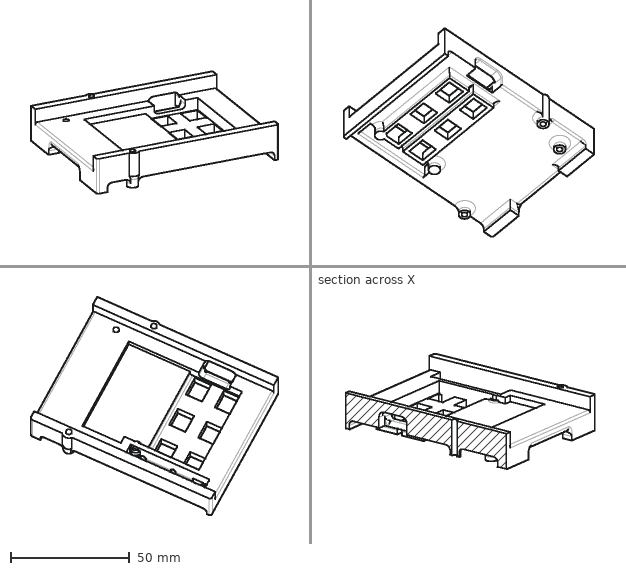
import cadquery as cq
import math

BODY_X = 63.8
BODY_Y = 85.0
BODY_Z = 16.0
CORNER_R = 1.0
OVERLAP = 1.0
MARGIN = 0.1

LEFT_WALL = 4.2
RIGHT_WALL = 4.0
TRAY_X1 = BODY_X - RIGHT_WALL
TRAY_Z = 10.0
TRAY_EDGE_R = 1.0

CEILING_Z = 4.0
FLARE_R = 2.0
FLARE_SLAB = 0.5
FLARE_REACH = FLARE_R + 0.2
LEG_X0 = 17.0
LEG_X1 = 47.1
LEG_Y = 4.9
BACK_RIB_Y = 2.0

FRONT_EDGE_R = 3.0
FRONT_FADE_POWER = 1
LEFT_EDGE_R = 1.0
LEFT_FADE_POWER = 4
FADE_ANGLES = (0, 15, 30, 50, 75)
TOOL_EXCESS = 0.2

POCKET_X0 = 10.2
POCKET_X1 = 51.0
POCKET_FRONT_X1 = 54.35
POCKET_Y0 = 19.9
POCKET_JOG_Y = 38.0
POCKET_STEP_Y = 48.7
POCKET_Y1 = 73.0
SHALLOW_Z = 7.2
DEEP_Z = 4.5
STEP_R = 1.0

WINDOW_COLUMNS = [(10.8, 19.4), (26.9, 35.2), (42.7, POCKET_X1)]
WINDOW_ROWS = [(51.2, 58.8), (64.8, 72.6)]
BAR_X0 = 8.9
BAR_X1 = 53.0
BAR_ROWS = [(49.2, 60.7), (63.1, 74.2)]

SLOT_X0 = 53.1
SLOT_Y0 = 42.0
SLOT_Y1 = 79.0
SLOT_EDGE_R = 1.0

OPENING_Y0 = 52.8
OPENING_Y1 = 67.3
OPENING_TOP_Z = 11.5
OPENING_CORNER_R = 2.5
OPENING_LIP_R = 0.5
LEDGE_X = 5.7
LEDGE_Z = 6.1
LEDGE_NOSE_R = 2.0
LEDGE_FADE_POWER = 1

POST_R = 2.5
HOLE_R = 1.25
LEFT_BOSS = (1.75, 27.5)
RIGHT_BOSS = (62.0, 17.4)
RIGHT_BOSS_R = 2.95
RIGHT_BOSS_CONE_Z = 5.4
FRONT_POST = (7.7, 12.7)
REAR_POST = (52.5, 73.7)
PIN_POST = (51.8, 43.8)

PIN_R = 1.2
PIN_SHOULDER_R = 2.2
PIN_BASE_R = 2.9


def box(x0, x1, y0, y1, z0, z1):
    """Box given by its limits along each axis."""
    return cq.Workplane("XY").box(x1 - x0, y1 - y0, z1 - z0, centered=False).translate((x0, y0, z0))


def post(center, radius, z0, z1):
    """Upright cylinder."""
    return cq.Workplane("XY", origin=(*center, z0)).circle(radius).extrude(z1 - z0)


def within(x0, x1, y0, y1, z0, z1):
    """Selector for the edges lying wholly inside the given limits."""
    low = (x0 - MARGIN, y0 - MARGIN, z0 - MARGIN)
    high = (x1 + MARGIN, y1 + MARGIN, z1 + MARGIN)
    return cq.selectors.BoxSelector(low, high, boundingbox=True)


def make_outline():
    return box(0, BODY_X, 0, BODY_Y, 0, BODY_Z).edges("|Z and >X").fillet(CORNER_R)


def make_right_boss():
    """Boss that widens through a short cone just above the ceiling."""
    return (
        cq.Workplane("XZ", origin=(*RIGHT_BOSS, 0))
        .moveTo(0, CEILING_Z)
        .lineTo(POST_R, CEILING_Z)
        .lineTo(RIGHT_BOSS_R, RIGHT_BOSS_CONE_Z)
        .lineTo(RIGHT_BOSS_R, BODY_Z)
        .lineTo(0, BODY_Z)
        .close()
        .revolve(360, (0, 0, 0), (0, 1, 0))
    )


def make_body():
    """Block above the ceiling with its side bosses and the tray between the walls."""
    body = make_outline().cut(box(0, BODY_X, 0, BODY_Y, 0, CEILING_Z))
    body = body.union(post(LEFT_BOSS, POST_R, CEILING_Z, BODY_Z)).union(make_right_boss())
    body = body.cut(box(LEFT_WALL, TRAY_X1, -OVERLAP, BODY_Y + OVERLAP, TRAY_Z, BODY_Z))
    tray_ends = within(LEFT_WALL, TRAY_X1, 0, BODY_Y, TRAY_Z, TRAY_Z)
    return body.edges(tray_ends).edges("|X").fillet(TRAY_EDGE_R)


def flared_block(x0, x1, y0, y1):
    """Rectangular foot with a concave rounding all round its root."""
    r = FLARE_REACH
    foot = box(x0, x1, y0, y1, 0, CEILING_Z)
    slab = box(x0 - r, x1 + r, y0 - r, y1 + r, CEILING_Z, CEILING_Z + FLARE_SLAB)
    root = within(x0, x1, y0, y1, CEILING_Z, CEILING_Z)
    return slab.union(foot).edges(root).fillet(FLARE_R)


def flared_post(center):
    """Round foot with a concave rounding all round its root."""
    x, y = center
    foot = post(center, POST_R, 0, CEILING_Z)
    slab = post(center, POST_R + FLARE_REACH, CEILING_Z, CEILING_Z + FLARE_SLAB)
    root = within(x - POST_R, x + POST_R, y - POST_R, y + POST_R, CEILING_Z, CEILING_Z)
    return slab.union(foot).edges(root).fillet(FLARE_R)


def add_feet(body):
    """Legs, rear rib, window bars and flared posts, trimmed to the body outline."""
    beyond = FLARE_R + OVERLAP
    feet = [
        flared_block(-beyond, LEG_X0, -beyond, LEG_Y),
        flared_block(LEG_X1, BODY_X + beyond, -beyond, LEG_Y),
        flared_block(-beyond, BODY_X + beyond, BODY_Y - BACK_RIB_Y, BODY_Y + beyond),
    ]
    for y0, y1 in BAR_ROWS:
        feet.append(flared_block(BAR_X0, BAR_X1, y0, y1))
    for center in (LEFT_BOSS, RIGHT_BOSS, FRONT_POST, REAR_POST, PIN_POST):
        feet.append(flared_post(center))
    outline = make_outline()
    for foot in feet:
        body = body.union(foot.intersect(outline))
    return body


def corner_section(plane, radius):
    """Outline of the corner that a convex rounding removes, at the flare's distance from the plane origin."""
    bulge = radius * (1 - math.sqrt(0.5))
    return (
        cq.Workplane(plane)
        .moveTo(FLARE_R - TOOL_EXCESS, -TOOL_EXCESS)
        .lineTo(FLARE_R + radius, -TOOL_EXCESS)
        .lineTo(FLARE_R + radius, 0)
        .threePointArc((FLARE_R + bulge, bulge), (FLARE_R, radius))
        .lineTo(FLARE_R - TOOL_EXCESS, radius)
        .close()
        .wire()
        .val()
    )


def edge_rounding(x0, x1, radius, fade_power):
    """Tools rounding the ceiling edge at y = 0 from x0 to x1, fading out along the flare at either end."""
    center_z = CEILING_Z - FLARE_R
    inward = cq.Vector(0, 1, 0)
    start = cq.Plane(origin=(x0, 0, center_z), xDir=(0, 0, 1), normal=(-1, 0, 0))
    face = cq.Face.makeFromWires(corner_section(start, radius))
    tools = [cq.Solid.extrudeLinear(face, cq.Vector(x1 - x0, 0, 0))]
    for x, side in ((x0, -1), (x1, 1)):
        sections = []
        for degrees in FADE_ANGLES:
            angle = math.radians(degrees)
            outward = cq.Vector(side * math.sin(angle), 0, math.cos(angle))
            plane = cq.Plane(origin=(x, 0, center_z), xDir=outward, normal=outward.cross(inward))
            faded_radius = radius * (1 - math.sin(angle) ** fade_power)
            sections.append(corner_section(plane, faded_radius))
        tools.append(cq.Solid.makeLoft(sections))
    return [cq.Workplane(tool) for tool in tools]


def round_ceiling_edges(body):
    """Convex rounding between the front legs and along the front part of the left side."""
    for tool in edge_rounding(LEG_X0 + FLARE_R, LEG_X1 - FLARE_R, FRONT_EDGE_R, FRONT_FADE_POWER):
        body = body.cut(tool)
    boss_reach = POST_R + FLARE_R
    left_spans = [
        (LEG_Y + FLARE_R, LEFT_BOSS[1] - boss_reach),
        (LEFT_BOSS[1] + boss_reach, OPENING_Y0),
    ]
    for y0, y1 in left_spans:
        for tool in edge_rounding(-y1, -y0, LEFT_EDGE_R, LEFT_FADE_POWER):
            body = body.cut(tool.rotate((0, 0, 0), (0, 0, 1), -90))
    return body


def cut_pocket(body):
    """Shallow pocket with a wider front part, and the deep rear part behind a rounded step."""
    top = TRAY_Z + OVERLAP
    front = box(POCKET_X0, POCKET_FRONT_X1, POCKET_Y0, POCKET_JOG_Y, SHALLOW_Z, top)
    middle = box(POCKET_X0, POCKET_X1, POCKET_JOG_Y, POCKET_Y1, SHALLOW_Z, top)
    deep = box(POCKET_X0, POCKET_X1, POCKET_STEP_Y, POCKET_Y1, DEEP_Z, top)
    deep = deep.faces("<Y").edges("<Z").fillet(STEP_R)
    return body.cut(front).cut(middle).cut(deep)


def cut_windows(body):
    for x0, x1 in WINDOW_COLUMNS:
        for y0, y1 in WINDOW_ROWS:
            body = body.cut(box(x0, x1, y0, y1, -OVERLAP, TRAY_Z))
    return body


def cut_slot(body):
    """Through slot along the right wall, whose lower inner edge is rounded."""
    slot = box(SLOT_X0, TRAY_X1, SLOT_Y0, SLOT_Y1, -OVERLAP, TRAY_Z + OVERLAP)
    rounding = (
        cq.Workplane("XZ", origin=(TRAY_X1, SLOT_Y1, CEILING_Z))
        .lineTo(SLOT_EDGE_R, 0)
        .radiusArc((0, SLOT_EDGE_R), SLOT_EDGE_R)
        .close()
        .extrude(SLOT_Y1 - SLOT_Y0)
    )
    return body.cut(slot).cut(rounding)


def make_wall_opening():
    """Opening through the left wall with rounded upper corners and a rounded outer lip."""
    spread = OPENING_CORNER_R
    opening = box(0, LEFT_WALL, OPENING_Y0, OPENING_Y1, -OVERLAP, OPENING_TOP_Z)
    opening = opening.edges("|X and >Z").fillet(OPENING_CORNER_R)
    outside = box(-OVERLAP, 0, OPENING_Y0 - spread, OPENING_Y1 + spread, -OVERLAP, OPENING_TOP_Z + spread)
    lip = within(0, 0, OPENING_Y0, OPENING_Y1, -OVERLAP, OPENING_TOP_Z)
    return opening.union(outside).edges(lip).edges("not(<Z)").fillet(OPENING_LIP_R)


def make_ledge_nose():
    """Tools rounding the ledge's edge: the ceiling edge rounding turned upside down and set on the ledge."""
    channel = box(LEFT_WALL, POCKET_X0, OPENING_Y0, OPENING_Y1, CEILING_Z, TRAY_Z)
    lift = (LEDGE_X, 0, LEDGE_Z + CEILING_Z)
    tools = edge_rounding(-OPENING_Y1 + FLARE_R, -OPENING_Y0 - FLARE_R, LEDGE_NOSE_R, LEDGE_FADE_POWER)
    noses = []
    for tool in tools:
        nose = tool.rotate((0, 0, 0), (0, 0, 1), -90).mirror("XY").translate(lift)
        noses.append(nose.intersect(channel))
    return noses


def cut_channel(body):
    """Channel from the wall opening to the pocket, dropping over a ledge with a rounded nose."""
    top = TRAY_Z + OVERLAP
    over_ledge = box(LEFT_WALL, POCKET_X0, OPENING_Y0, OPENING_Y1, LEDGE_Z, top)
    over_ledge = over_ledge.edges("|X and <Z").fillet(FLARE_R)
    drop = box(LEFT_WALL, LEDGE_X, OPENING_Y0, OPENING_Y1, 0, top)
    body = body.cut(over_ledge).cut(drop)
    for nose in make_ledge_nose():
        body = body.cut(nose)
    return body


def add_straight_posts(body):
    """Full round shafts where the outline, slot or windows trimmed the flared posts."""
    for center in (LEFT_BOSS, RIGHT_BOSS, REAR_POST, PIN_POST):
        body = body.union(post(center, POST_R, 0, CEILING_Z))
    return body


def make_pin():
    """Pin rising from the shallow pocket floor to the top of the rib, flared at its base."""
    flare = PIN_BASE_R - PIN_SHOULDER_R
    shoulder_z = SHALLOW_Z + flare
    sag = flare * (1 - math.sqrt(0.5))
    return (
        cq.Workplane("XZ", origin=(*PIN_POST, 0))
        .moveTo(0, CEILING_Z)
        .lineTo(PIN_BASE_R, CEILING_Z)
        .lineTo(PIN_BASE_R, SHALLOW_Z)
        .threePointArc((PIN_SHOULDER_R + sag, SHALLOW_Z + sag), (PIN_SHOULDER_R, shoulder_z))
        .lineTo(PIN_R, shoulder_z)
        .lineTo(PIN_R, TRAY_Z)
        .lineTo(0, TRAY_Z)
        .close()
        .revolve(360, (0, 0, 0), (0, 1, 0))
    )


def drill_holes(body):
    for center in (LEFT_BOSS, RIGHT_BOSS, FRONT_POST):
        body = body.cut(post(center, HOLE_R, -OVERLAP, BODY_Z + OVERLAP))
    return body


body = make_body()
body = add_feet(body)
body = round_ceiling_edges(body)
body = cut_pocket(body)
body = cut_windows(body)
body = cut_slot(body)
body = body.cut(make_wall_opening())
body = cut_channel(body)
body = add_straight_posts(body)
body = body.union(make_pin())
result = drill_holes(body)